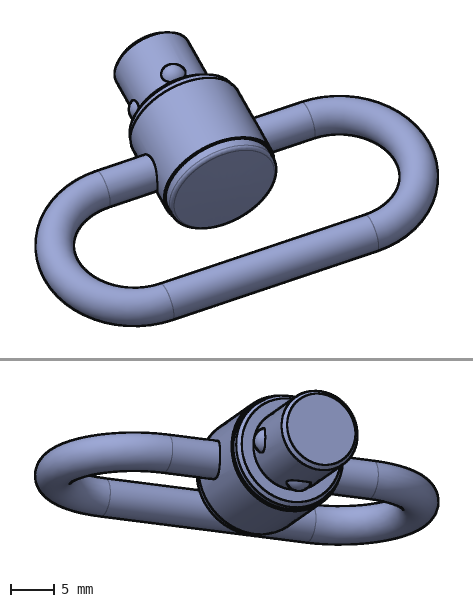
import cadquery as cq
import math

loop_length = 49.0
loop_width = 23.05
wire_diameter = 4.5
bend_radius = (loop_width - wire_diameter) / 2
straight_half = (loop_length - loop_width) / 2

shank_radius = 4.8
shank_length = 8.85
collar_radius = 6.75
barrel_radius = 7.0
barrel_start = 10.2
barrel_end = 19.95
base_end = 21.4
edge_chamfer = 0.5
dome_height = 0.35
dome_edge_fillet = 0.45
loop_near_x = 15.85

ball_count = 4
ball_x = 6.65
ball_radius = 1.55
ball_tip_radius = 5.55


def make_loop():
    """Closed loop of round wire, its near leg running through the base."""
    loop_far_x = loop_near_x + 2 * bend_radius
    loop_middle_x = loop_near_x + bend_radius
    bend_top_y = straight_half + bend_radius
    path = (
        cq.Workplane("XY")
        .moveTo(loop_near_x, -straight_half)
        .lineTo(loop_near_x, straight_half)
        .threePointArc((loop_middle_x, bend_top_y), (loop_far_x, straight_half))
        .lineTo(loop_far_x, -straight_half)
        .threePointArc((loop_middle_x, -bend_top_y), (loop_near_x, -straight_half))
        .close()
    )
    section = cq.Workplane("XZ", origin=(loop_near_x, -straight_half, 0)).circle(wire_diameter / 2)
    return section.sweep(path)


def make_turned_base():
    """Shank, stepped barrel and shallow domed end, revolved about X."""
    dome_sphere_radius = (collar_radius**2 + dome_height**2) / (2 * dome_height)
    dome_mid_radius = collar_radius / 2
    dome_mid_drop = dome_sphere_radius - math.sqrt(dome_sphere_radius**2 - dome_mid_radius**2)
    dome_tip_x = base_end + dome_height
    turned_base = (
        cq.Workplane("XY")
        .moveTo(0, 0)
        .lineTo(0, shank_radius - edge_chamfer)
        .lineTo(edge_chamfer, shank_radius)
        .lineTo(shank_length, shank_radius)
        .lineTo(shank_length, collar_radius - edge_chamfer)
        .lineTo(shank_length + edge_chamfer, collar_radius)
        .lineTo(barrel_start, collar_radius)
        .lineTo(barrel_start, barrel_radius)
        .lineTo(barrel_end, barrel_radius)
        .lineTo(barrel_end, collar_radius)
        .lineTo(base_end, collar_radius)
        .threePointArc((dome_tip_x - dome_mid_drop, dome_mid_radius), (dome_tip_x, 0))
        .close()
        .revolve(360, (0, 0, 0), (1, 0, 0))
    )
    dome_rim = turned_base.faces("%CYLINDER").faces(">X").edges(">X")
    return dome_rim.fillet(dome_edge_fillet)


def add_locking_balls(base):
    """Balls standing proud of the shank, evenly spaced around it."""
    ball_center_radius = ball_tip_radius - ball_radius
    for index in range(ball_count):
        angle = 2 * math.pi * index / ball_count
        center = (ball_x, ball_center_radius * math.cos(angle), ball_center_radius * math.sin(angle))
        base = base.union(cq.Workplane("XY").sphere(ball_radius).translate(center))
    return base


def cut_loop_hole(base):
    """Cross hole filled by the near leg of the loop."""
    hole = (
        cq.Workplane("XZ", origin=(loop_near_x, 0, 0))
        .circle(wire_diameter / 2)
        .extrude(barrel_radius, both=True)
    )
    return base.cut(hole)


swivel_base = cut_loop_hole(add_locking_balls(make_turned_base()))
wire_loop = make_loop()

result = cq.Compound.makeCompound([swivel_base.val(), wire_loop.val()])